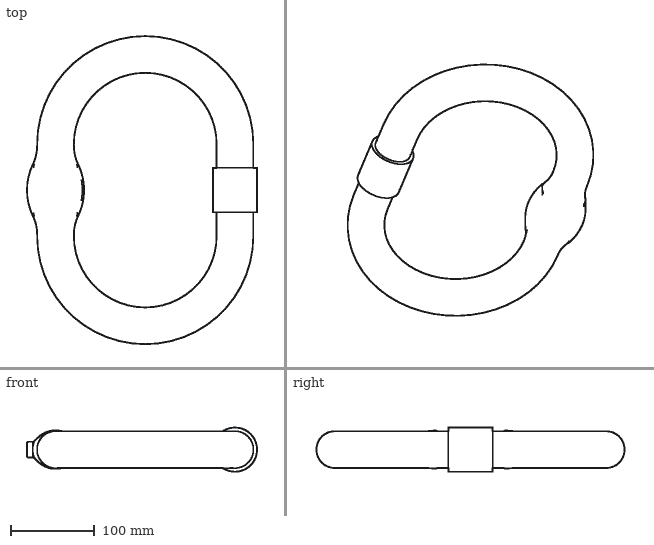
import cadquery as cq
import math

overall_length = 367.8
ring_width = 258.2
bar_diameter = 44.0
sleeve_diameter = 53.0
sleeve_length = 53.0

pad_half_width = 34.2
pad_half_thickness = 9.5
wall_half_length = 30.5
wall_end_radius = 27.2
blend_end = 52.5
recess_half_length = 27.5
ramp_angle = 45.0
ramp_fillet = 5.5
rim_fillet = 2.2

bar_radius = bar_diameter / 2
limb_x = ring_width / 2 - bar_radius
straight_half = (overall_length - ring_width) / 2
blend_length = blend_end - wall_half_length
blend_rise = wall_end_radius - bar_radius
blend_arc_radius = (blend_length**2 + blend_rise**2) / (2 * blend_rise)
blend_mid = wall_half_length + blend_length / 2
blend_mid_rise = blend_arc_radius - math.sqrt(blend_arc_radius**2 - (blend_length / 2) ** 2)
blend_mid_radius = bar_radius + blend_mid_rise
ramp_top = bar_diameter
ramp_run = (ramp_top - pad_half_thickness) / math.tan(math.radians(ramp_angle))


def make_ring():
    """Round bar swept along a closed path of two limbs and two half-circle bends."""
    path = (
        cq.Workplane("XY")
        .moveTo(limb_x, 0)
        .lineTo(limb_x, straight_half)
        .threePointArc((0, straight_half + limb_x), (-limb_x, straight_half))
        .lineTo(-limb_x, -straight_half)
        .threePointArc((0, -straight_half - limb_x), (limb_x, -straight_half))
        .close()
    )
    return cq.Workplane("XZ", origin=(limb_x, 0, 0)).circle(bar_radius).sweep(path)


def make_sleeve():
    """Cylinder around the middle of the +X limb."""
    return (
        cq.Workplane("XZ", origin=(limb_x, 0, 0))
        .circle(sleeve_diameter / 2)
        .extrude(sleeve_length / 2, both=True)
    )


def make_recess():
    """Flat-bottomed channel above the pad, with ramped ends and rounded corners."""
    top_half_length = recess_half_length + ramp_run
    return (
        cq.Workplane("YZ", origin=(-limb_x, 0, 0))
        .moveTo(-recess_half_length, pad_half_thickness)
        .lineTo(recess_half_length, pad_half_thickness)
        .lineTo(top_half_length, ramp_top)
        .lineTo(-top_half_length, ramp_top)
        .close()
        .extrude(pad_half_width, both=True)
        .edges("|X and <Z")
        .fillet(ramp_fillet)
    )


def pad_profile():
    """Pad profile on one side of the limb axis: a convex wall with a concave blend at each end."""
    return (
        cq.Workplane("XY", origin=(-limb_x, 0, 0))
        .moveTo(0, -blend_end)
        .lineTo(bar_radius, -blend_end)
        .threePointArc((blend_mid_radius, -blend_mid), (wall_end_radius, -wall_half_length))
        .threePointArc((pad_half_width, 0), (wall_end_radius, wall_half_length))
        .threePointArc((blend_mid_radius, blend_mid), (bar_radius, blend_end))
        .lineTo(0, blend_end)
        .close()
    )


def make_pad_collar(recesses):
    """Pad profile turned about the limb axis, recessed top and bottom, with rounded rims."""
    solid = pad_profile().revolve(360, (0, 0, 0), (0, 1, 0)).cut(recesses)
    bent_edges = solid.edges("not(|X)").vals()
    rim = [edge for edge in bent_edges if abs(edge.Center().z) > pad_half_thickness / 2]
    return solid.newObject(rim).fillet(rim_fillet)


def make_pad_plate():
    """Upright convex walls in the middle of the pad, rounded along their long edges."""
    return (
        cq.Workplane("XY", origin=(-limb_x, 0, 0))
        .moveTo(-wall_end_radius, -wall_half_length)
        .threePointArc((-pad_half_width, 0), (-wall_end_radius, wall_half_length))
        .lineTo(wall_end_radius, wall_half_length)
        .threePointArc((pad_half_width, 0), (wall_end_radius, -wall_half_length))
        .close()
        .extrude(pad_half_thickness, both=True)
        .edges("%CIRCLE")
        .fillet(rim_fillet)
    )


upper_recess = make_recess()
recesses = upper_recess.union(upper_recess.mirror("XY"))
pad = make_pad_collar(recesses).union(make_pad_plate())
result = make_ring().cut(recesses).union(pad).union(make_sleeve())